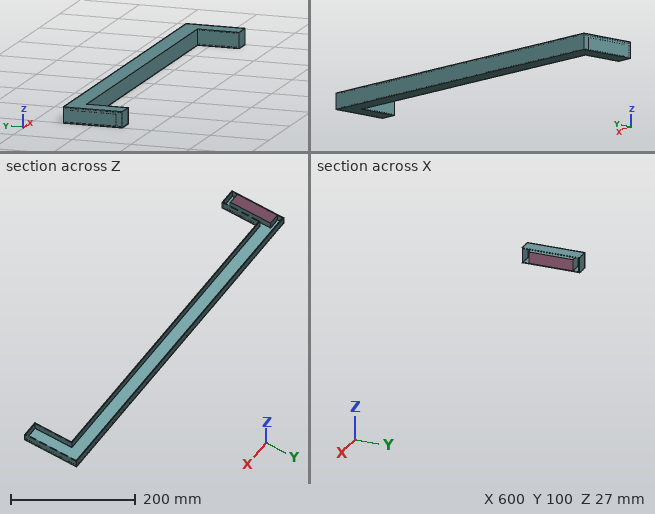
import cadquery as cq

length = 600.0
depth = 100.0
height = 27.0
bar_width = 29.5
wall = 2.0

block_length = 78.0
block_side = 20.0


def make_u_bar(inset):
    """Square-cornered U with every face moved inward by the inset."""
    bar_height = height - 2 * inset
    outer = cq.Workplane("XY").box(
        length - 2 * inset, depth - 2 * inset, bar_height, centered=False
    ).translate((inset, inset, inset))
    grip_start = bar_width - inset
    grip_space = cq.Workplane("XY").box(
        length - 2 * grip_start, depth - bar_width + inset, bar_height, centered=False
    ).translate((grip_start, 0, inset))
    return outer.cut(grip_space)


def make_handle():
    """U-shaped shell with the same wall thickness on all sides."""
    return make_u_bar(0).cut(make_u_bar(wall))


def make_block():
    """Block centred along Y in the closed cavity of the left leg."""
    block_start = (depth - block_length) / 2
    return cq.Workplane("XY").box(
        block_side, block_length, block_side, centered=False
    ).translate((wall, block_start, wall))


handle = make_handle()
block = make_block()

result = cq.Compound.makeCompound([handle.solids().val(), block.val()])